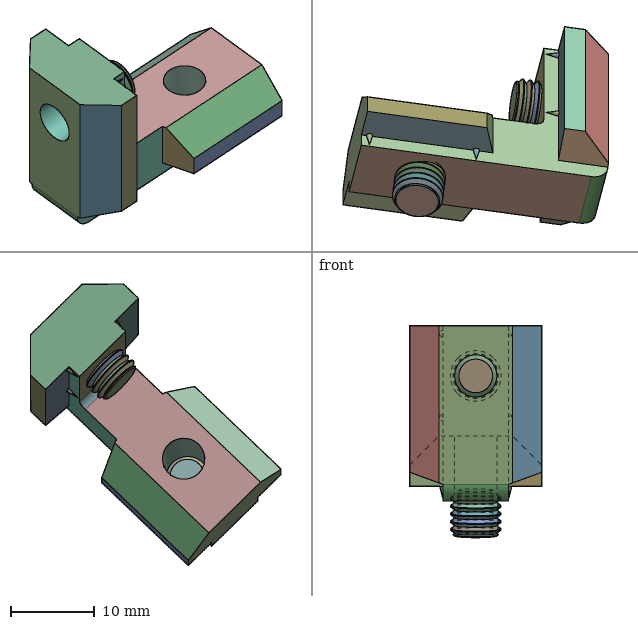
import cadquery as cq
import math


HORIZONTAL_LENGTH = 30.0
VERTICAL_LENGTH = 21.0
LEG_DEPTH = 7.8
STEM_WIDTH = 7.85
OUTER_CORNER_RADIUS = 2.0
INNER_CORNER_RADIUS = 1.0

WING_WIDTH = 15.8
WING_DEPTH = 6.03
WING_CHAMFER = 3.5
WING_END_ANGLE = 20.0
HORIZONTAL_WING_START = 14.0
VERTICAL_WING_START = OUTER_CORNER_RADIUS

SPIKE_RADIUS = 0.4
SPIKE_LENGTH = 1.5
SPIKE_END_GAP = 1.0
HORIZONTAL_SPIKES = (16.02, HORIZONTAL_LENGTH - SPIKE_END_GAP)
VERTICAL_SPIKES = (10.0, VERTICAL_LENGTH - SPIKE_END_GAP)

THREAD_MAJOR_RADIUS = 3.03
THREAD_ROOT_RADIUS = 2.52
THREAD_PITCH = 0.93
THREAD_COUNT = 5
CREST_WIDTH = 0.12
SCREW_TIP_RADIUS = 2.0
SCREW_END_RADIUS = 2.55
SCREW_END_STUB = 0.78
SCREW_END_CHAMFER = 0.15
HOLE_RADIUS = THREAD_ROOT_RADIUS
HOLE_CUT_REACH = 2 * LEG_DEPTH

HORIZONTAL_SCREW_PLACE = 21.42
HORIZONTAL_SCREW_TILT = 5.0
HORIZONTAL_SCREW_REACH = 12.0
VERTICAL_SCREW_PLACE = 14.97
VERTICAL_SCREW_TILT = 0.0
VERTICAL_SCREW_REACH = 10.8


def lay_down(leg_part):
    """Turn an upright leg part so it lies along Y with its wing face on top."""
    return leg_part.rotate((0, 0, 0), (1, 0, 0), -90).translate((0, 0, LEG_DEPTH))


def make_core():
    """L-shaped stem with a rounded outside and inside corner."""
    stem = (
        cq.Workplane("YZ")
        .polyline([
            (0, 0),
            (HORIZONTAL_LENGTH, 0),
            (HORIZONTAL_LENGTH, LEG_DEPTH),
            (LEG_DEPTH, LEG_DEPTH),
            (LEG_DEPTH, VERTICAL_LENGTH),
            (0, VERTICAL_LENGTH),
        ])
        .close()
        .extrude(STEM_WIDTH / 2, both=True)
    )
    outer_corner = cq.selectors.NearestToPointSelector((0, 0, 0))
    inner_corner = cq.selectors.NearestToPointSelector((0, LEG_DEPTH, LEG_DEPTH))
    stem = stem.edges(outer_corner).fillet(OUTER_CORNER_RADIUS)
    return stem.edges(inner_corner).fillet(INNER_CORNER_RADIUS)


def make_wings(start, end):
    """Chamfered wing bar whose inner end slopes back from the stem to the wing sides."""
    half_width = WING_WIDTH / 2
    half_stem = STEM_WIDTH / 2
    half_face = half_width - WING_CHAMFER
    slope_rise = (half_width - half_stem) * math.tan(math.radians(WING_END_ANGLE))
    bar = (
        cq.Workplane("XY")
        .polyline([
            (-half_face, 0),
            (half_face, 0),
            (half_width, WING_CHAMFER),
            (half_width, WING_DEPTH),
            (-half_width, WING_DEPTH),
            (-half_width, WING_CHAMFER),
        ])
        .close()
        .extrude(end)
    )
    plan = (
        cq.Workplane("XZ")
        .polyline([
            (-half_stem, start),
            (half_stem, start),
            (half_width, start + slope_rise),
            (half_width, end),
            (-half_width, end),
            (-half_width, start + slope_rise),
        ])
        .close()
        .extrude(-WING_DEPTH)
    )
    return bar.intersect(plan)


def make_spikes(places):
    """Cones tapering away from the wings, centred on both sides of the stem."""
    spikes = cq.Workplane("XY")
    for place in places:
        for side in (-1, 1):
            base = cq.Vector(side * STEM_WIDTH / 2, WING_DEPTH, place)
            cone = cq.Solid.makeCone(SPIKE_RADIUS, 0, SPIKE_LENGTH, base, cq.Vector(0, 1, 0))
            spikes = spikes.add(cone)
    return spikes.combine()


def set_in_leg(shape, place, tilt):
    """Move a shape built along Y onto a screw axis, leaning its far end along the leg."""
    return shape.rotate((0, 0, 0), (1, 0, 0), tilt).translate((0, 0, place))


def make_hole(place, tilt):
    """Screw hole right through the leg's depth."""
    cylinder = (
        cq.Workplane("XZ")
        .circle(HOLE_RADIUS)
        .extrude(HOLE_CUT_REACH, both=True)
    )
    return set_in_leg(cylinder, place, tilt)


def make_screw(place, tilt, reach):
    """Screw with ring threads, a cone tip inside the leg and a chamfered outer end."""
    points = [(0, reach), (SCREW_END_RADIUS, reach)]
    points.append((SCREW_END_RADIUS + SCREW_END_CHAMFER, reach - SCREW_END_CHAMFER))
    first_crest = reach - SCREW_END_STUB
    points.append((THREAD_ROOT_RADIUS, first_crest + THREAD_PITCH / 2))
    for ring in range(THREAD_COUNT):
        crest = first_crest - ring * THREAD_PITCH
        points.append((THREAD_MAJOR_RADIUS, crest + CREST_WIDTH / 2))
        points.append((THREAD_MAJOR_RADIUS, crest - CREST_WIDTH / 2))
        points.append((THREAD_ROOT_RADIUS, crest - THREAD_PITCH / 2))
    tip_chamfer = THREAD_ROOT_RADIUS - SCREW_TIP_RADIUS
    tip = first_crest - (THREAD_COUNT - 1 / 2) * THREAD_PITCH - tip_chamfer
    points.append((SCREW_TIP_RADIUS, tip))
    points.append((0, tip))
    screw = cq.Workplane("XY").polyline(points).close().revolve(360, (0, 0, 0), (0, 1, 0))
    return set_in_leg(screw, place, tilt)


horizontal_screw = lay_down(
    make_screw(HORIZONTAL_SCREW_PLACE, HORIZONTAL_SCREW_TILT, HORIZONTAL_SCREW_REACH)
)
vertical_screw = make_screw(VERTICAL_SCREW_PLACE, VERTICAL_SCREW_TILT, VERTICAL_SCREW_REACH)

bracket = (
    make_core()
    .union(lay_down(make_wings(HORIZONTAL_WING_START, HORIZONTAL_LENGTH)))
    .union(make_wings(VERTICAL_WING_START, VERTICAL_LENGTH))
    .union(lay_down(make_spikes(HORIZONTAL_SPIKES)))
    .union(make_spikes(VERTICAL_SPIKES))
    .cut(lay_down(make_hole(HORIZONTAL_SCREW_PLACE, HORIZONTAL_SCREW_TILT)))
    .cut(make_hole(VERTICAL_SCREW_PLACE, VERTICAL_SCREW_TILT))
    .cut(horizontal_screw)
    .cut(vertical_screw)
)

result = cq.Compound.makeCompound([bracket.val(), horizontal_screw.val(), vertical_screw.val()])